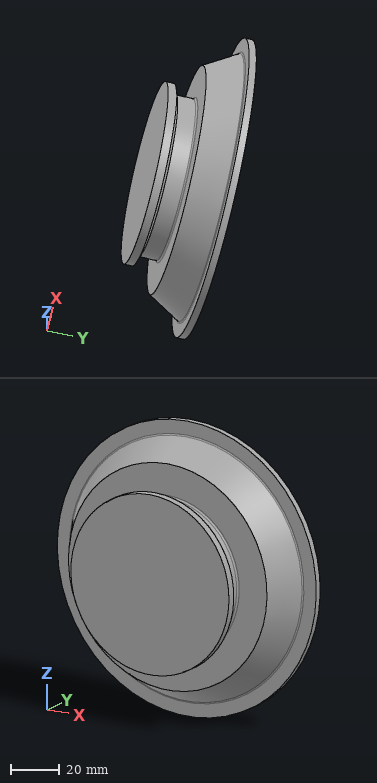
import cadquery as cq
import math

plate_radius = 63.5
cone_top_radius = 48.6
neck_radius = 34.3
clamp_radius = 38.7
root_fillet = 0.8

total_length = 31.2
plate_thickness = 3.2
cone_end = 17.7
clamp_rim_thickness = 3.7
clamp_taper_length = 1.5

rim_start = total_length - clamp_rim_thickness
taper_start = rim_start - clamp_taper_length

cone_half_angle = math.radians(30)
cone_length = cone_end - plate_thickness
cone_base_radius = cone_top_radius + cone_length * math.tan(cone_half_angle)

profile = [
    (0, 0),
    (plate_radius, 0),
    (plate_radius, plate_thickness),
    (cone_base_radius, plate_thickness),
    (cone_top_radius, cone_end),
    (neck_radius, cone_end),
    (neck_radius, taper_start),
    (clamp_radius, rim_start),
    (clamp_radius, total_length),
    (0, total_length),
]

body = (
    cq.Workplane("ZY")
    .polyline([(radius, -distance) for radius, distance in profile])
    .close()
    .revolve(360, (0, 0, 0), (0, 1, 0))
)


def fillet_root(solid, radius, distance):
    """Round the inner corner with the given radius and distance from the plate back."""
    tolerance = 0.01

    def is_root(edge):
        same_radius = abs(edge.radius() - radius) < tolerance
        same_distance = abs(edge.arcCenter().y + distance) < tolerance
        return same_radius and same_distance

    return solid.edges("%CIRCLE").filter(is_root).fillet(root_fillet)


body = fillet_root(body, cone_base_radius, plate_thickness)
result = fillet_root(body, neck_radius, cone_end)